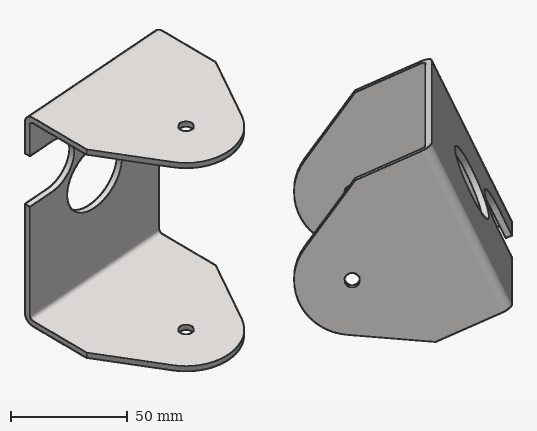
import cadquery as cq
import math

depth = 81.5
width = 81.2
height = 115.0

thickness = 3.0
outer_bend_radius = 5.0
inner_bend_radius = outer_bend_radius - thickness

tip_radius = 25.0
taper_angle = math.radians(30)
pivot_x = depth - tip_radius
pivot_hole_diameter = 6.5

web_hole_diameter = 34.2
notch_width = 27.8
notch_center_y = -26.7
notch_center_z = 21.4


def channel():
    """U-shaped sheet: web at X = 0 and two flanges towards +X, centred on Y and Z."""
    outer = cq.Workplane("XY").box(depth, width, height, centered=(False, True, True))
    outer = outer.edges("|Y and <X").fillet(outer_bend_radius)
    inner = (
        cq.Workplane("XY")
        .box(depth, width, height - 2 * thickness, centered=(False, True, True))
        .translate((thickness, 0, 0))
        .edges("|Y and <X")
        .fillet(inner_bend_radius)
    )
    return outer.cut(inner)


def flange_outline():
    """Full-height prism whose tapered sides run tangent into the rounded tip."""
    half_width = width / 2
    tangent_x = pivot_x + tip_radius * math.sin(taper_angle)
    tangent_y = tip_radius * math.cos(taper_angle)
    taper_start_x = tangent_x - (half_width - tangent_y) / math.tan(taper_angle)
    return (
        cq.Workplane("XY", origin=(0, 0, -height / 2))
        .moveTo(0, -half_width)
        .lineTo(taper_start_x, -half_width)
        .lineTo(tangent_x, -tangent_y)
        .threePointArc((depth, 0), (tangent_x, tangent_y))
        .lineTo(taper_start_x, half_width)
        .lineTo(0, half_width)
        .close()
        .extrude(height)
    )


def pivot_holes():
    """One cylinder that pierces both flanges."""
    return (
        cq.Workplane("XY", origin=(pivot_x, 0, -height / 2))
        .circle(pivot_hole_diameter / 2)
        .extrude(height)
    )


def web_hole():
    """Large round opening in the middle of the web."""
    return cq.Workplane("YZ").circle(web_hole_diameter / 2).extrude(thickness)


def web_notch():
    """Round-ended notch open to the -Y edge of the web."""
    notch_radius = notch_width / 2
    edge_y = -width / 2
    return (
        cq.Workplane("YZ")
        .moveTo(edge_y, notch_center_z - notch_radius)
        .lineTo(notch_center_y, notch_center_z - notch_radius)
        .threePointArc(
            (notch_center_y + notch_radius, notch_center_z),
            (notch_center_y, notch_center_z + notch_radius),
        )
        .lineTo(edge_y, notch_center_z + notch_radius)
        .close()
        .extrude(thickness)
    )


result = (
    channel()
    .intersect(flange_outline())
    .cut(pivot_holes())
    .cut(web_hole())
    .cut(web_notch())
)